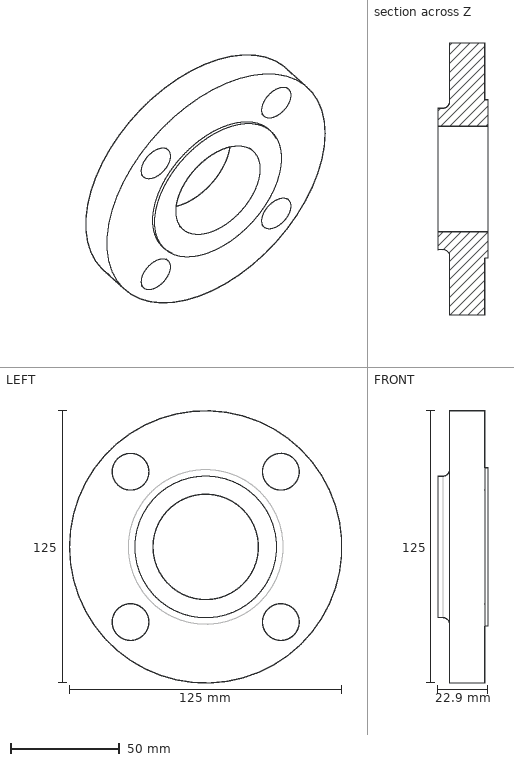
import cadquery as cq

flange_diameter = 125.0
flange_thickness = 16.2
hub_diameter = 65.0
hub_length = 5.2
hub_fillet = 3.0
raised_face_diameter = 72.8
raised_face_height = 1.5
bore_diameter = 48.2
bolt_hole_diameter = 16.8
bolt_circle_diameter = 97.5
bolt_count = 4
first_bolt_angle = 45.0

total_length = hub_length + flange_thickness + raised_face_height


def disc(diameter, start, length):
    """Solid disc about the X axis, starting at the given X."""
    return cq.Workplane("YZ", origin=(start, 0, 0)).circle(diameter / 2).extrude(length)


hub = disc(hub_diameter, 0, hub_length)
flange = disc(flange_diameter, hub_length, flange_thickness)
body = hub.union(flange)
hub_root = cq.selectors.RadiusNthSelector(0)
body = body.faces("<X[1]").edges(hub_root).fillet(hub_fillet)

body = body.union(disc(raised_face_diameter, hub_length + flange_thickness, raised_face_height))

bore = disc(bore_diameter, 0, total_length)
bolt_holes = (
    cq.Workplane("YZ")
    .polarArray(bolt_circle_diameter / 2, first_bolt_angle, 360, bolt_count)
    .circle(bolt_hole_diameter / 2)
    .extrude(total_length)
)

result = body.cut(bore).cut(bolt_holes)